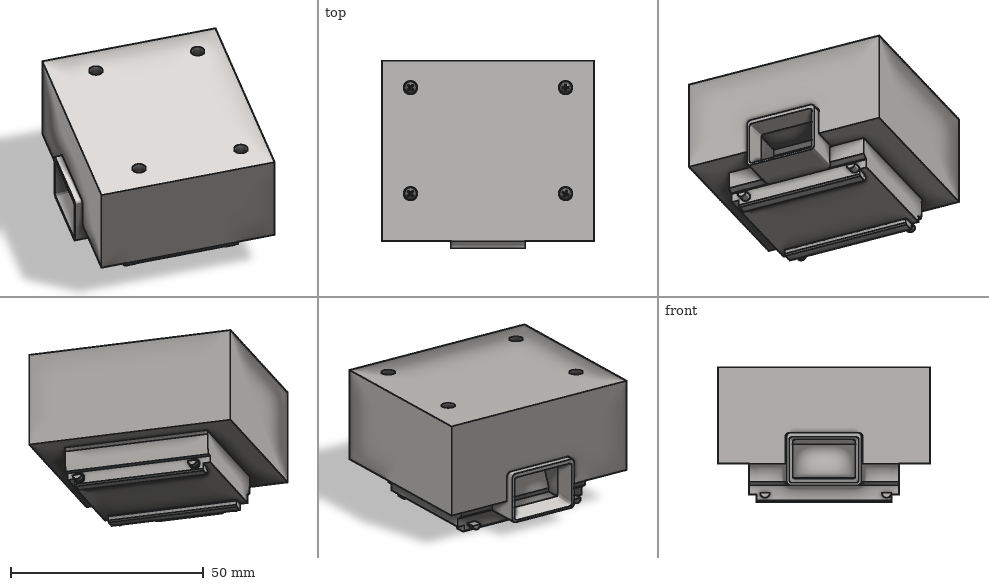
import cadquery as cq
import math


COVER_LENGTH = 55.1
COVER_WIDTH = 46.8
COVER_HEIGHT = 25.0
COVER_FRONT = -COVER_WIDTH / 2

BASE_LENGTH = 39.0
BASE_FRONT = -16.15
BASE_BACK = 17.8
BASE_BOTTOM = -8.05
BACK_FLARE = 0.55
BACK_FLARE_HEIGHT = 0.9
BACK_BEVEL = 0.5
BACK_BEVEL_TOP = -4.75
BACK_STEP_Z = -6.3
FRONT_BEVEL = 1.2
FRONT_BEVEL_TOP = -4.7
FRONT_STEP_Z = -5.6

FEET_LENGTH = 35.05
FEET_MIDDLE = 0.65
FEET_HALF_SPAN = 15.2
FOOT_NECK_WIDTH = 3.1
FOOT_HOOK = 0.4
FOOT_HOOK_TOP = BASE_BOTTOM - 0.35
FEET_BOTTOM = -10.0
FOOT_BEVEL = 0.45
FEET_FRONT = FEET_MIDDLE - FEET_HALF_SPAN
FEET_BACK = FEET_MIDDLE + FEET_HALF_SPAN

SHROUD_LENGTH = 19.4
SHROUD_TOP = 8.05
SHROUD_FRONT = COVER_FRONT - 1.95
SHROUD_BACK = -9.9
SHROUD_RADIUS = 1.05

MOUTH_LENGTH = 18.1
MOUTH_TOP = SHROUD_TOP - 1.1
MOUTH_BOTTOM = FRONT_STEP_Z + 0.6
MOUTH_RADIUS = 0.8
LIP_LENGTH = 16.3
LIP_TOP = MOUTH_TOP - 0.65
LIP_BOTTOM = MOUTH_BOTTOM + 1.1
LIP_DEPTH = 5.2
LIP_Y = SHROUD_FRONT + LIP_DEPTH

CHAMBER_LENGTH = MOUTH_LENGTH
CHAMBER_TOP = MOUTH_TOP
CHAMBER_BOTTOM = -4.7
CHAMBER_WALL_Y = -14.75
SLOPE_BOTTOM = -3.65
SLOPE_TOP = 5.05
SLOPE_RUN = 3.75

NOTCH_LENGTH = SHROUD_LENGTH + 0.8
NOTCH_BACK = BASE_FRONT + FRONT_BEVEL
NOTCH_RADIUS = 1.3

SCREW_X = 20.1
SCREW_BACK_Y = 16.4
SCREW_FRONT_Y = -11.1
SCREWS = [
    (-SCREW_X, SCREW_BACK_Y, 45),
    (SCREW_X, SCREW_BACK_Y, 0),
    (-SCREW_X, SCREW_FRONT_Y, 45),
    (SCREW_X, SCREW_FRONT_Y, -24),
]
SCREW_HOLE_DIAMETER = 3.5
SCREW_HOLE_DEPTH = 4.95
SEAT_Z = COVER_HEIGHT - SCREW_HOLE_DEPTH
HEAD_DIAMETER = 3.2
HEAD_HEIGHT = 0.95
SHANK_DIAMETER = 2.0
SHANK_LENGTH = 6.6
CROSS_SPAN = 1.75
CROSS_WIDTH = 0.35
CROSS_DEPTH = 0.5

PIN_X = [-15.3, 16.25]
PIN_DIAMETER = 2.5
FRONT_PIN_Z = -7.6
FRONT_PIN_LENGTH = 2.6
BACK_PIN_Z = -7.8
BACK_PIN_LENGTH = 2.2
FLANGE_DIAMETER = 2.65
FLANGE_THICKNESS = 0.65
FLANGE_Z = BASE_BOTTOM


def box(x_size, y_range, z_range):
    """Box centred on X = 0 between the given Y and Z limits."""
    y_size = y_range[1] - y_range[0]
    z_size = z_range[1] - z_range[0]
    block = cq.Workplane("XY").box(x_size, y_size, z_size, centered=(True, False, False))
    return block.translate((0, y_range[0], z_range[0]))


def extrude_along_x(points, length):
    """Prism of a (Y, Z) outline, centred on X = 0."""
    return cq.Workplane("YZ").polyline(points).close().extrude(length / 2, both=True)


def make_shroud_block():
    block = box(SHROUD_LENGTH, (SHROUD_FRONT, SHROUD_BACK), (FRONT_STEP_Z, SHROUD_TOP))
    return block.edges("|Y").fillet(SHROUD_RADIUS)


def make_base_block():
    outline = [
        (BASE_FRONT, 0),
        (BASE_FRONT, FRONT_BEVEL_TOP),
        (BASE_FRONT + FRONT_BEVEL, FRONT_STEP_Z),
        (FEET_FRONT, FRONT_STEP_Z),
        (FEET_FRONT, BASE_BOTTOM),
        (FEET_BACK, BASE_BOTTOM),
        (FEET_BACK, BACK_STEP_Z),
        (BASE_BACK - BACK_BEVEL, BACK_STEP_Z),
        (BASE_BACK, BACK_BEVEL_TOP),
        (BASE_BACK, -BACK_FLARE_HEIGHT),
        (BASE_BACK + BACK_FLARE, 0),
    ]
    return extrude_along_x(outline, BASE_LENGTH)


def make_foot(side):
    """Foot at the back (side = 1) or front (side = -1), with its hook turned inward."""
    neck = FEET_HALF_SPAN - FOOT_NECK_WIDTH
    hook = neck - FOOT_HOOK
    outline = [
        (FEET_HALF_SPAN, BASE_BOTTOM),
        (FEET_HALF_SPAN, FEET_BOTTOM + FOOT_BEVEL),
        (FEET_HALF_SPAN - FOOT_BEVEL, FEET_BOTTOM),
        (hook + FOOT_BEVEL, FEET_BOTTOM),
        (hook, FEET_BOTTOM + FOOT_BEVEL),
        (hook, FOOT_HOOK_TOP),
        (neck, FOOT_HOOK_TOP),
        (neck, BASE_BOTTOM),
    ]
    points = [(FEET_MIDDLE + side * offset, z) for offset, z in outline]
    return extrude_along_x(points, FEET_LENGTH)


def rounded_frame(length, bottom, top, depth):
    """Sketch of a rounded rectangle between two heights, at a depth behind the shroud front."""
    place = cq.Location(cq.Vector(0, (bottom + top) / 2, -depth))
    return cq.Sketch().rect(length, top - bottom).vertices().fillet(MOUTH_RADIUS).moved(place)


def make_mouth():
    outer = rounded_frame(MOUTH_LENGTH, MOUTH_BOTTOM, MOUTH_TOP, 0)
    lip = rounded_frame(LIP_LENGTH, LIP_BOTTOM, LIP_TOP, LIP_DEPTH)
    return cq.Workplane("XZ", origin=(0, SHROUD_FRONT, 0)).placeSketch(outer, lip).loft()


def make_chamber():
    outline = [
        (LIP_Y, CHAMBER_BOTTOM),
        (CHAMBER_WALL_Y, CHAMBER_BOTTOM),
        (CHAMBER_WALL_Y, SLOPE_BOTTOM),
        (CHAMBER_WALL_Y + SLOPE_RUN, SLOPE_TOP),
        (CHAMBER_WALL_Y + SLOPE_RUN, CHAMBER_TOP),
        (LIP_Y, CHAMBER_TOP),
    ]
    return extrude_along_x(outline, CHAMBER_LENGTH)


def make_base():
    base = make_base_block().union(make_shroud_block())
    for side in (-1, 1):
        base = base.union(make_foot(side))
    return base.cut(make_mouth()).cut(make_chamber())


def make_screw(x, y, turn):
    """Dome-headed screw with a cross recess turned by the given angle in degrees."""
    rim = HEAD_DIAMETER / 2
    dome_radius = (rim**2 + HEAD_HEIGHT**2) / (2 * HEAD_HEIGHT)
    dome_centre = HEAD_HEIGHT - dome_radius
    middle = dome_radius * math.sqrt(0.5)
    head = (
        cq.Workplane("XZ")
        .lineTo(rim, 0)
        .threePointArc((middle, dome_centre + middle), (0, HEAD_HEIGHT))
        .close()
        .revolve(360, (0, 0, 0), (0, 1, 0))
    )
    shank = cq.Workplane("XY").circle(SHANK_DIAMETER / 2).extrude(-SHANK_LENGTH)
    recess_floor = cq.Workplane("XY", origin=(0, 0, HEAD_HEIGHT - CROSS_DEPTH))
    arm = recess_floor.rect(CROSS_SPAN, CROSS_WIDTH).extrude(CROSS_DEPTH)
    cross = arm.union(arm.rotate((0, 0, 0), (0, 0, 1), 90))
    screw = head.union(shank).cut(cross)
    return screw.rotate((0, 0, 0), (0, 0, 1), turn).translate((x, y, SEAT_Z))


def make_cover():
    cover = box(COVER_LENGTH, (COVER_FRONT, COVER_FRONT + COVER_WIDTH), (0, COVER_HEIGHT))
    notch = box(NOTCH_LENGTH, (COVER_FRONT, NOTCH_BACK), (0, SHROUD_TOP))
    notch = notch.edges("|Y and >Z").fillet(NOTCH_RADIUS)
    cover = cover.cut(notch).cut(make_shroud_block())
    centres = [(x, y) for x, y, _ in SCREWS]
    seats = cq.Workplane("XY", origin=(0, 0, SEAT_Z)).pushPoints(centres)
    cover = cover.cut(seats.circle(SCREW_HOLE_DIAMETER / 2).extrude(SCREW_HOLE_DEPTH))
    return cover.cut(seats.circle(SHANK_DIAMETER / 2).extrude(-SHANK_LENGTH))


def make_pin(x, z, y_start, y_end):
    """Half-round pin along Y with its flat at the given height."""
    radius = PIN_DIAMETER / 2
    return (
        cq.Workplane("XZ", origin=(x, y_start, z))
        .moveTo(-radius, 0)
        .threePointArc((0, -radius), (radius, 0))
        .close()
        .extrude(y_start - y_end)
    )


def make_front_pin(x):
    return make_pin(x, FRONT_PIN_Z, FEET_FRONT - FRONT_PIN_LENGTH, FEET_FRONT)


def make_back_pin(x):
    pin = make_pin(x, BACK_PIN_Z, FEET_BACK, FEET_BACK + BACK_PIN_LENGTH)
    flange = cq.Workplane("XZ", origin=(x, FEET_BACK, FLANGE_Z)).circle(FLANGE_DIAMETER / 2)
    return pin.union(flange.extrude(-FLANGE_THICKNESS))


cover = make_cover()
base = make_base()
screws = [make_screw(x, y, turn) for x, y, turn in SCREWS]
front_pins = [make_front_pin(x) for x in PIN_X]
back_pins = [make_back_pin(x) for x in PIN_X]

bodies = [cover, base, *screws, *front_pins, *back_pins]
result = cq.Compound.makeCompound([body.val() for body in bodies])